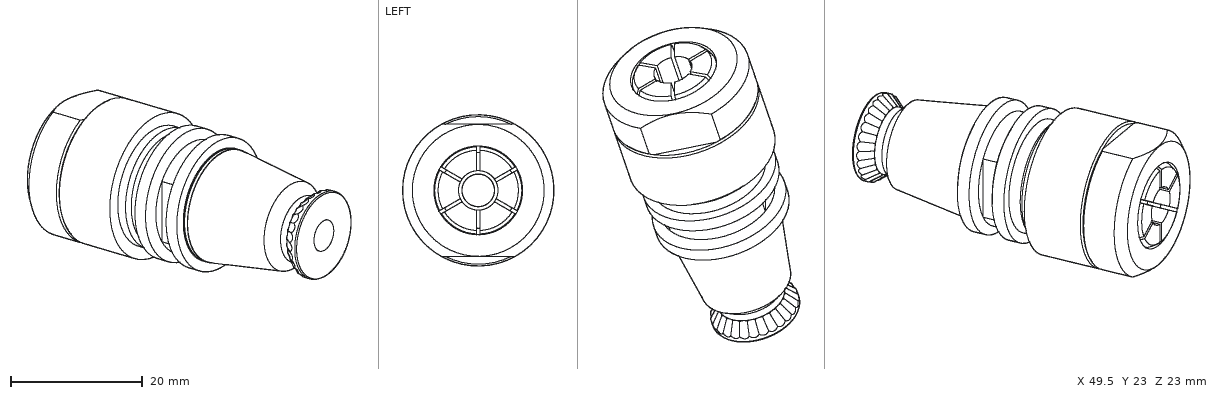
import cadquery as cq
import math

LENGTH = 49.5
WIDE = 49.5

COLLET_TIP_R = 6.1
COLLET_NOSE_R = 13.2 / 2
COLLET_MAX_R = 8.5
COLLET_BORE_R = 6.0 / 2
COLLET_SHOULDER_X = 6.3
COLLET_END_X = 27.5
NOSE_CONE_ANGLE = 30.0
COLLET_TAPER_ANGLE = 8.0
SLOT_WIDTH = 0.55
SLOT_COUNT = 6
SLOT_FLOOR_R = 5.75

NUT_R = 23.0 / 2
NUT_HOLE_R = 13.45 / 2
NUT_FRONT_X = 0.35
NUT_BACK_X = 17.35
NUT_CHAMFER = 1.5
NUT_FLAT_OFFSET = 10.05
NUT_GROOVE_X = 7.4
NUT_GROOVE_DEPTH = 0.3

NECK_R = 19.0 / 2
NECK_END_X = 18.8
RELIEF_R = 17.8 / 2
FLANGE_R = 21.0 / 2
FLANGE_FRONT_X = 21.4
FLANGE_BACK_X = 29.4
FLANGE_RIM = 2.05
GRIP_R = 17.95 / 2
GRIP_FRONT_X = 24.2
GRIP_BACK_X = 26.6
GRIP_FLAT_OFFSET = 7.5
UNDERCUT_FRONT_X = 29.6
UNDERCUT_BACK_X = 30.2
UNDERCUT_R = 8.8
TAPER_START_X = 30.35
TAPER_START_R = 8.85
TAPER_END_X = 43.5
TAPER_END_R = 7.05
HOLDER_BORE_R = 4.9 / 2

STUD_NECK_R = 10.5 / 2
STUD_HEAD_R = 13.8 / 2
STUD_HEAD_X = 46.5
STUD_RIM_CHAMFER_X = 49.25
STUD_RIM_CHAMFER = 0.15
FLUTE_COUNT = 28
FLUTE_R = 1.45
FLUTE_END_X = 48.75
FLUTE_RIDGE_ALLOWANCE = 0.35

NOSE_SLOPE = math.tan(math.radians(NOSE_CONE_ANGLE))
TAPER_SLOPE = math.tan(math.radians(COLLET_TAPER_ANGLE))
SEAT_X = COLLET_SHOULDER_X - (COLLET_MAX_R - COLLET_NOSE_R) / NOSE_SLOPE
COLLET_END_R = COLLET_MAX_R - (COLLET_END_X - COLLET_SHOULDER_X) * TAPER_SLOPE
FLUTE_SLOPE = (STUD_HEAD_R - STUD_NECK_R) / (FLUTE_END_X - STUD_HEAD_X)


def turned(points):
    """Revolve an outline of (x, radius) points about the X axis."""
    return cq.Workplane("XY").polyline(points).close().revolve(360, (0, 0, 0), (1, 0, 0))


def bar(start_x, end_x, size_y, size_z):
    """Box centred on the X axis between two x positions."""
    box = cq.Workplane("XY").box(end_x - start_x, size_y, size_z)
    return box.translate(((start_x + end_x) / 2, 0, 0))


def collet_slots():
    """Radial slots from the tip, ending on a conical floor that slopes back at 45 degrees."""
    floor_outer_x = COLLET_SHOULDER_X + (COLLET_MAX_R - SLOT_FLOOR_R) / TAPER_SLOPE
    overshoot = 2 * COLLET_MAX_R - SLOT_FLOOR_R
    reach = turned([
        (0, 0),
        (floor_outer_x - SLOT_FLOOR_R, 0),
        (floor_outer_x + overshoot - SLOT_FLOOR_R, overshoot),
        (0, overshoot),
    ])
    blade = bar(0, LENGTH, SLOT_WIDTH, WIDE)
    blades = blade
    for i in range(1, SLOT_COUNT // 2):
        blades = blades.union(blade.rotate((0, 0, 0), (1, 0, 0), i * 360 / SLOT_COUNT))
    return blades.intersect(reach)


def make_collet():
    body = turned([
        (0, COLLET_BORE_R),
        (0, COLLET_TIP_R),
        ((COLLET_NOSE_R - COLLET_TIP_R) / NOSE_SLOPE, COLLET_NOSE_R),
        (SEAT_X, COLLET_NOSE_R),
        (COLLET_SHOULDER_X, COLLET_MAX_R),
        (COLLET_END_X, COLLET_END_R),
        (COLLET_END_X, COLLET_BORE_R),
    ])
    return body.cut(collet_slots())


def make_nut():
    groove_r = NUT_R - NUT_GROOVE_DEPTH
    hole_end_x = SEAT_X + (NUT_HOLE_R - COLLET_NOSE_R) / NOSE_SLOPE
    body = turned([
        (NUT_FRONT_X, NUT_HOLE_R),
        (NUT_FRONT_X, NUT_R - NUT_CHAMFER),
        (NUT_FRONT_X + NUT_CHAMFER, NUT_R),
        (NUT_GROOVE_X - NUT_GROOVE_DEPTH, NUT_R),
        (NUT_GROOVE_X, groove_r),
        (NUT_GROOVE_X + NUT_GROOVE_DEPTH, NUT_R),
        (NUT_BACK_X, NUT_R),
        (NUT_BACK_X, NECK_R),
        (COLLET_SHOULDER_X, NECK_R),
        (COLLET_SHOULDER_X, COLLET_MAX_R),
        (hole_end_x, NUT_HOLE_R),
    ])
    front = bar(0, NUT_GROOVE_X, WIDE, WIDE)
    across_flats = bar(0, NUT_GROOVE_X, WIDE, 2 * NUT_FLAT_OFFSET)
    return body.cut(front.cut(across_flats))


def flutes():
    """Round-bottomed grooves along the conical head of the pull stud."""
    slope_angle = math.atan(FLUTE_SLOPE)
    floor_direction = cq.Vector(math.cos(slope_angle), 0, math.sin(slope_angle))
    outward = cq.Vector(-math.sin(slope_angle), 0, math.cos(slope_angle))
    floor_start = cq.Vector(STUD_HEAD_X, 0, STUD_NECK_R)
    run = (FLUTE_END_X - STUD_HEAD_X) / math.cos(slope_angle)
    start = floor_start + outward * FLUTE_R - floor_direction * run
    cutter = cq.Workplane(cq.Solid.makeCylinder(FLUTE_R, 3 * run, start, floor_direction))
    cutter = cutter.intersect(bar(STUD_HEAD_X, 2 * LENGTH, WIDE, WIDE))
    return [
        cutter.rotate((0, 0, 0), (1, 0, 0), i * 360 / FLUTE_COUNT).val()
        for i in range(FLUTE_COUNT)
    ]


def make_holder():
    bevel_start_x = FLANGE_FRONT_X + FLANGE_RIM
    bevel_end_x = FLANGE_BACK_X - FLANGE_RIM
    stock_r = STUD_NECK_R + FLUTE_RIDGE_ALLOWANCE
    body = turned([
        (COLLET_SHOULDER_X, COLLET_MAX_R),
        (COLLET_SHOULDER_X, NECK_R),
        (NECK_END_X, NECK_R),
        (NECK_END_X + NECK_R - RELIEF_R, RELIEF_R),
        (FLANGE_FRONT_X, RELIEF_R),
        (FLANGE_FRONT_X, FLANGE_R),
        (bevel_start_x, FLANGE_R),
        (GRIP_FRONT_X, GRIP_R),
        (GRIP_BACK_X, GRIP_R),
        (bevel_end_x, FLANGE_R),
        (FLANGE_BACK_X, FLANGE_R),
        (FLANGE_BACK_X, RELIEF_R),
        (UNDERCUT_FRONT_X, RELIEF_R),
        (UNDERCUT_FRONT_X, UNDERCUT_R),
        (UNDERCUT_BACK_X, UNDERCUT_R),
        (UNDERCUT_BACK_X, RELIEF_R),
        (TAPER_START_X, TAPER_START_R),
        (TAPER_END_X, TAPER_END_R),
        (TAPER_END_X + TAPER_END_R - STUD_NECK_R, STUD_NECK_R),
        (STUD_HEAD_X, STUD_NECK_R),
        (STUD_HEAD_X, stock_r),
        (STUD_HEAD_X + (STUD_HEAD_R - stock_r) / FLUTE_SLOPE, STUD_HEAD_R),
        (STUD_RIM_CHAMFER_X, STUD_HEAD_R),
        (LENGTH, STUD_HEAD_R - STUD_RIM_CHAMFER),
        (LENGTH, HOLDER_BORE_R),
        (COLLET_END_X, HOLDER_BORE_R),
        (COLLET_END_X, COLLET_END_R),
    ])
    grip_ring = bar(GRIP_FRONT_X, GRIP_BACK_X, WIDE, WIDE)
    across_flats = bar(GRIP_FRONT_X, GRIP_BACK_X, 2 * GRIP_FLAT_OFFSET, WIDE)
    body = body.cut(grip_ring.cut(across_flats))
    for flute in flutes():
        body = body.cut(cq.Workplane(flute))
    return body


collet = make_collet()
nut = make_nut()
holder = make_holder()

result = cq.Compound.makeCompound([
    collet.solids().val(),
    nut.solids().val(),
    holder.solids().val(),
])